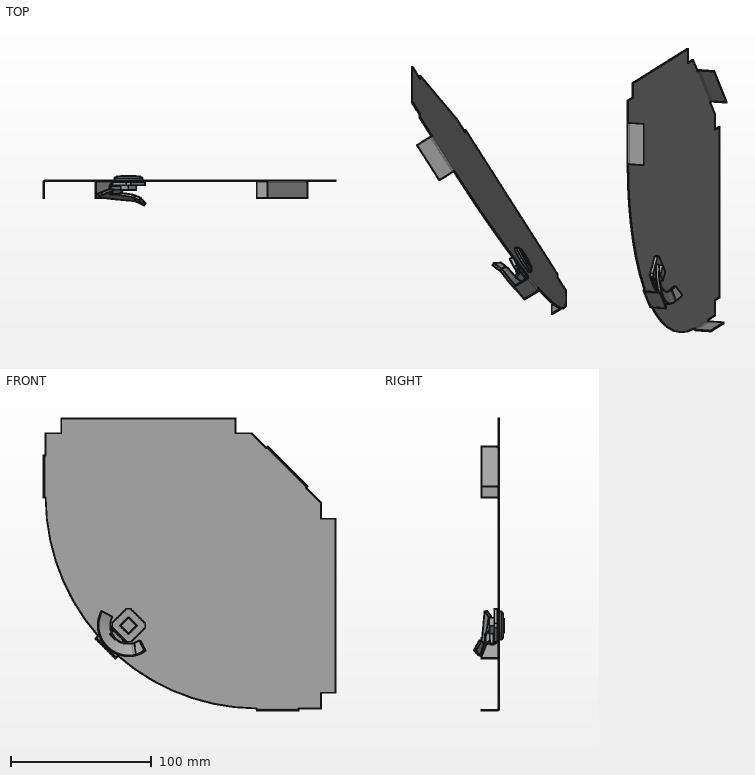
import cadquery as cq
import math


overall = 207.75
sheet = 0.75
bend_offset = 1.5
flange_depth = 10.4
flange_start = 12.6
flange_length = 124.0
corner_cut = 49.4
arc_center = 152.5
tab_depth = 11.9
inner_bend = sheet
edge_tab_start = 151.5
edge_tab_length = 30.0
cut_tab_length = 40.0
root_overlap = 1.5
arc_tab_length = 20.0
arc_tab_offset = 2.3

lock_center = 60.5
shaft_diameter = 16.5
knob_diameter = 20.2
knob_face_diameter = 16.5
knob_rim = 1.6
knob_height = 2.9
cap_diameter = 10.0
cap_height = 0.5
stud_side = 8.0
stud_end = 6.3

hub_side = 19.0
hub_corner = 2.2
hub_outward = 9.0
hub_gap = 0.5
hub_bottom = 2.8
stud_hole_side = 8.6
strap_width = 15.7
strap_root = 7.8
strap_inner = 9.9
strap_outer = 11.4
strap_top = 1.5
strap_knee = 3.2
strap_end = 5.7
knee_offset = 0.4
tongue_width = 10.0
tongue_drop = 0.2
cam_sheet = 2.0
ramp_inner_radius = 13.7
ramp_outer_radius = 21.9
ramp_start_depth = 4.9
cone_angle = 20.0
ramp_pitch = 12.0
ramp_start = -73.5
ramp_end = 54.5
bend_end = 62.5
bend_pitch = 28.0
lead_in_angle = 19.4
lead_in_tilt = 23.2

plate_high = overall - flange_depth
diagonal = math.sqrt(2)


def bent_tab(length):
    """A tab along local X with its outer face on local y = 0; local Z points to -Y of the part."""
    reach = inner_bend + root_overlap + sheet
    leg = cq.Workplane("XY").box(length, sheet, tab_depth + sheet, centered=(True, False, False))
    root = cq.Workplane("XY").box(length, reach, sheet, centered=(True, False, False))
    tab = leg.union(root)
    tab = tab.edges(cq.selectors.NearestToPointSelector((0, sheet, sheet))).fillet(inner_bend)
    tab = tab.edges(cq.selectors.NearestToPointSelector((0, 0, 0))).fillet(inner_bend + sheet)
    return tab.val().moved(cq.Location(cq.Vector(0, 0, -sheet)))


def tab_on_edge(x, z, inward_x, inward_z, length):
    """Place a tab with the middle of its outer face at (x, z) and its root pointing inward."""
    along = cq.Vector(-inward_z, 0, inward_x)
    if along.cross(cq.Vector(inward_x, 0, inward_z)).y > 0:
        along = along * -1
    plane = cq.Plane(origin=(x, 0, z), xDir=along, normal=(0, -1, 0))
    return bent_tab(length).moved(cq.Location(plane))


def make_plate():
    flange_end = flange_start + flange_length
    cut_start = plate_high - corner_cut
    arc_radius = arc_center - bend_offset
    arc_middle = arc_center - arc_radius / diagonal
    plate = (
        cq.Workplane("XZ")
        .moveTo(bend_offset, arc_center)
        .lineTo(bend_offset, plate_high)
        .lineTo(flange_start, plate_high)
        .lineTo(flange_start, overall)
        .lineTo(flange_end, overall)
        .lineTo(flange_end, plate_high)
        .lineTo(cut_start, plate_high)
        .lineTo(plate_high, cut_start)
        .lineTo(plate_high, flange_end)
        .lineTo(overall, flange_end)
        .lineTo(overall, flange_start)
        .lineTo(plate_high, flange_start)
        .lineTo(plate_high, bend_offset)
        .lineTo(arc_center, bend_offset)
        .threePointArc((arc_middle, arc_middle), (bend_offset, arc_center))
        .close()
        .extrude(-sheet)
    )
    edge_tab_middle = edge_tab_start + edge_tab_length / 2
    cut_tab_middle = plate_high - corner_cut / 2 + bend_offset / diagonal
    arc_tab_middle = arc_middle - arc_tab_offset / diagonal
    tabs = [
        tab_on_edge(0, edge_tab_middle, 1, 0, edge_tab_length),
        tab_on_edge(edge_tab_middle, 0, 0, 1, edge_tab_length),
        tab_on_edge(cut_tab_middle, cut_tab_middle, -1, -1, cut_tab_length),
        tab_on_edge(arc_tab_middle, arc_tab_middle, 1, 1, arc_tab_length),
    ]
    for tab in tabs:
        plate = plate.union(cq.Workplane(obj=tab))
    hole = (
        cq.Workplane("XZ", origin=(lock_center, 0, lock_center))
        .circle(shaft_diameter / 2)
        .extrude(-sheet)
    )
    return plate.cut(hole)


lock_plane = cq.Plane(origin=(lock_center, 0, lock_center), xDir=(-1, 0, -1), normal=(0, -1, 0))


def make_lock():
    rim_z = -sheet - knob_rim
    face_z = -sheet - knob_height
    cap_z = face_z - cap_height
    body = (
        cq.Workplane("XZ")
        .moveTo(0, hub_gap)
        .lineTo(shaft_diameter / 2, hub_gap)
        .lineTo(shaft_diameter / 2, -sheet)
        .lineTo(knob_diameter / 2, -sheet)
        .lineTo(knob_diameter / 2, rim_z)
        .lineTo(knob_face_diameter / 2, face_z)
        .lineTo(cap_diameter / 2, face_z)
        .lineTo(cap_diameter / 2, cap_z)
        .lineTo(0, cap_z)
        .close()
        .revolve(360, (0, 0), (0, 1))
    )
    stud = cq.Workplane("XY").rect(stud_side, stud_side).extrude(stud_end)
    return body.union(stud)


def ramp_section(depth):
    """Cross-section of the conical ramp in the local XZ plane, sheet edges square to the cone."""
    slope = math.radians(cone_angle)
    run = ramp_outer_radius - ramp_inner_radius
    outer_depth = depth + run * math.tan(slope)
    step_in = cam_sheet * math.sin(slope)
    step_down = cam_sheet * math.cos(slope)
    return cq.Workplane("XZ").polyline([
        (ramp_inner_radius, depth),
        (ramp_outer_radius, outer_depth),
        (ramp_outer_radius - step_in, outer_depth + step_down),
        (ramp_inner_radius - step_in, depth + step_down),
    ]).close()


def helical_ramp(start, end, pitch, depth):
    """Conical ramp between two angles, its section starting at the given depth."""
    drop = pitch * (end - start) / 360
    helix = cq.Wire.makeHelix(pitch, drop, ramp_outer_radius)
    ramp = ramp_section(depth).sweep(cq.Workplane(obj=helix), isFrenet=True)
    return ramp.rotate((0, 0, 0), (0, 0, 1), start)


def make_ramp():
    """A gentle main ramp, a short steeper bend and a tilted lead-in at the deep end."""
    bend_depth = ramp_start_depth + ramp_pitch * (ramp_end - ramp_start) / 360
    lead_in_depth = bend_depth + bend_pitch * (bend_end - ramp_end) / 360
    main = helical_ramp(ramp_start, ramp_end, ramp_pitch, ramp_start_depth)
    bend = helical_ramp(ramp_end, bend_end, bend_pitch, bend_depth)

    hinge = lead_in_depth + cam_sheet
    lead_in = (
        ramp_section(lead_in_depth)
        .revolve(lead_in_angle, (0, 0), (0, 1))
        .rotate((0, 0, hinge), (1, 0, hinge), lead_in_tilt)
        .rotate((0, 0, 0), (0, 0, 1), bend_end)
    )
    return main.union(bend).union(lead_in)


def strip(width, outline):
    """A bent strip: an outline in the local XZ plane, extruded evenly about that plane."""
    return cq.Workplane("XZ").polyline(outline).close().extrude(width / 2, both=True)


def make_cam():
    hub = (
        cq.Workplane("XY", origin=((hub_outward - hub_side / 2) / 2, 0, hub_gap))
        .rect(hub_outward + hub_side / 2, hub_side)
        .extrude(hub_bottom - hub_gap)
        .edges("|Z")
        .chamfer(hub_corner)
    )
    strap = strip(strap_width, [
        (strap_root, strap_top),
        (strap_inner, strap_top),
        (strap_outer, strap_knee),
        (strap_outer, strap_end),
        (strap_inner, strap_end),
        (strap_inner, strap_knee + knee_offset),
        (hub_outward, hub_bottom),
        (strap_root, hub_bottom),
    ])
    ramp_middle = ramp_start_depth - ramp_pitch * ramp_start / 360
    tongue_tip = ramp_middle + tongue_drop
    tongue = strip(tongue_width, [
        (strap_inner, strap_end - cam_sheet),
        (strap_outer, strap_end - cam_sheet),
        (ramp_inner_radius, tongue_tip),
        (ramp_inner_radius, tongue_tip + cam_sheet),
        (strap_inner, strap_end + tongue_drop),
    ])
    stud_hole = cq.Workplane("XY").rect(stud_hole_side, stud_hole_side).extrude(hub_bottom)
    return hub.union(strap).union(tongue).union(make_ramp()).cut(stud_hole)


plate = make_plate()
lock = make_lock().val().moved(cq.Location(lock_plane))
cam = make_cam().val().moved(cq.Location(lock_plane))

result = cq.Compound.makeCompound([plate.val(), lock, cam])